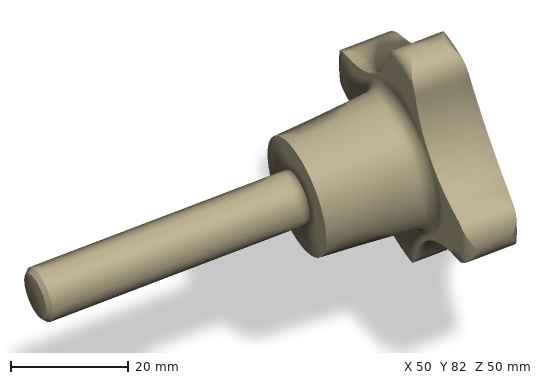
import cadquery as cq
import math

head_radius = 25.0
head_base_y = 20.0
head_top_y = 32.0
rim_fillet = 2.0
dome_edge_radius = head_radius - rim_fillet
dome_edge_y = 30.1

lobe_tip_radius = 5.3
waist_radius = 15.1

hub_end_radius = 11.1
hub_root_radius = 12.5
hub_root_y = 18.3
hub_flank_sag = 0.1
hub_fillet_edge_radius = 14.6

shaft_radius = 5.0
shaft_length = 50.0
shaft_chamfer = 0.8

DIAGONAL = math.sqrt(0.5)


def polar(radius, degrees):
    angle = math.radians(degrees)
    return radius * math.cos(angle), radius * math.sin(angle)


def revolve_about_y(profile):
    return profile.close().revolve(360, (0, 0, 0), (0, 1, 0))


def make_head_blank():
    """Domed disc with rounded upper and lower rim."""
    corner = rim_fillet * (1 - DIAGONAL)
    dome_drop = head_top_y - dome_edge_y
    dome_radius = (dome_edge_radius**2 + dome_drop**2) / (2 * dome_drop)
    mid_radius = dome_edge_radius / 2
    mid_y = head_top_y - dome_radius + math.sqrt(dome_radius**2 - mid_radius**2)
    profile = (
        cq.Workplane("XY")
        .moveTo(0, head_base_y)
        .lineTo(dome_edge_radius, head_base_y)
        .threePointArc((head_radius - corner, head_base_y + corner), (head_radius, head_base_y + rim_fillet))
        .lineTo(head_radius, dome_edge_y - rim_fillet)
        .threePointArc((head_radius - corner, dome_edge_y - corner), (dome_edge_radius, dome_edge_y))
        .threePointArc((mid_radius, mid_y), (0, head_top_y))
    )
    return revolve_about_y(profile)


def make_lobe_prism():
    """Four round lobe tips joined by tangent scallops centred on the diagonals."""
    tip_center = head_radius - lobe_tip_radius
    gap = waist_radius - lobe_tip_radius
    scallop_center = (tip_center**2 - gap**2) / (2 * (tip_center * DIAGONAL - gap))
    offset = scallop_center * DIAGONAL
    tangent_angle = math.atan2(offset, offset - tip_center)
    tangent_x = tip_center + lobe_tip_radius * math.cos(tangent_angle)
    tangent_y = lobe_tip_radius * math.sin(tangent_angle)
    tangent_radius = math.hypot(tangent_x, tangent_y)
    half_lobe = math.degrees(math.atan2(tangent_y, tangent_x))

    outline = cq.Workplane("XZ").moveTo(*polar(tangent_radius, -half_lobe))
    for lobe in range(4):
        angle = 90 * lobe
        outline = outline.threePointArc(polar(head_radius, angle), polar(tangent_radius, angle + half_lobe))
        next_start = polar(tangent_radius, angle + 90 - half_lobe)
        outline = outline.threePointArc(polar(waist_radius, angle + 45), next_start)
    return outline.close().extrude(-head_top_y)


def make_hub():
    """Tapered, slightly hollow-sided hub flaring into the underside of the head."""
    flank_mid = ((hub_end_radius + hub_root_radius) / 2 - hub_flank_sag, hub_root_y / 2)
    flare_width = hub_fillet_edge_radius - hub_root_radius
    flare_height = head_base_y - hub_root_y
    flare_mid = (
        hub_root_radius + flare_width * (1 - DIAGONAL),
        hub_root_y + flare_height * DIAGONAL,
    )
    profile = (
        cq.Workplane("XY")
        .lineTo(hub_end_radius, 0)
        .threePointArc(flank_mid, (hub_root_radius, hub_root_y))
        .threePointArc(flare_mid, (hub_fillet_edge_radius, head_base_y))
        .lineTo(0, head_base_y)
    )
    return revolve_about_y(profile)


def make_shaft():
    shaft = cq.Workplane("XZ").circle(shaft_radius).extrude(shaft_length)
    return shaft.faces("<Y").chamfer(shaft_chamfer)


head = make_head_blank().intersect(make_lobe_prism())
result = head.union(make_hub()).union(make_shaft())